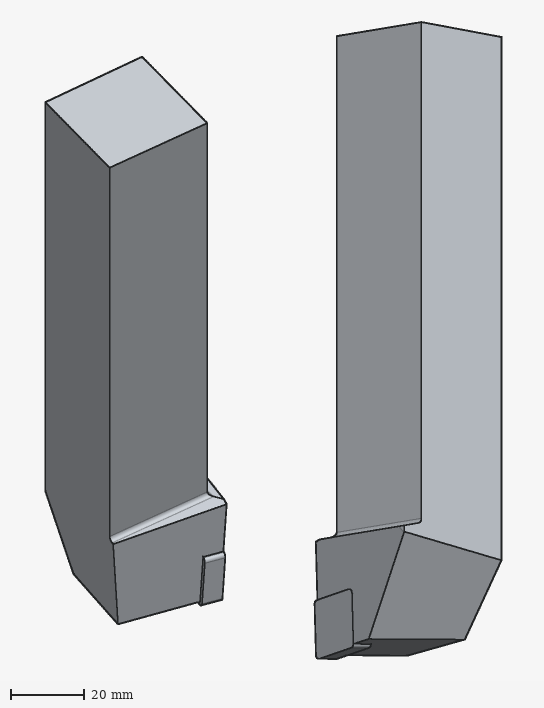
import cadquery as cq
import math

overall_height = 171.4
shank_size = 32.0
side_taper = 0.5

head_width = 42.8
head_depth = 38.9
shoulder_height = 32.9
shoulder_slope = 0.25
shoulder_fillet = 1.5

clearance_point = (36.2, 0, 4.5)
end_slope_x = -0.085
end_slope_y = -0.1
flank_slope_y = 0.09
flank_slope_z = -0.085
rake_point = (0, 38.9, 29.1)
rake_slope_x = -0.11
rake_slope_z = 0.11
rake_normal = (-rake_slope_x, 1, -rake_slope_z)
relief_point = (0.5, 0, 26.5)
relief_slope_x = -1.47
relief_slope_y = 0.055

insert_edge = 16.1
insert_thickness = 6.3
insert_nose_radius = 1.2
insert_lead_angle = 5.0
insert_tip_x = 40.6
insert_tip_z = -0.12

CUTTER_SIZE = 514.0


def trim(body, point, outward):
    """Remove everything of the body on the outward side of a plane."""
    cutter = cq.Workplane(cq.Plane(origin=point, normal=outward)).rect(CUTTER_SIZE, CUTTER_SIZE)
    return body.cut(cutter.extrude(CUTTER_SIZE))


def block(width, depth, height):
    """Box with the tapered -X face, standing on Z = 0."""
    back_x = side_taper * (1 - depth / head_depth)
    outline = [(side_taper, 0), (width, 0), (width, depth), (back_x, depth)]
    return cq.Workplane("XY").polyline(outline).close().extrude(height)


def make_head():
    head = block(head_width, head_depth, overall_height / 2)
    shoulder_point = (shank_size, shank_size, shoulder_height)
    head = trim(head, shoulder_point, (shoulder_slope, 0, 1))
    head = trim(head, shoulder_point, (0, shoulder_slope, 1))
    head = trim(head, clearance_point, (end_slope_x, end_slope_y, -1))
    head = trim(head, clearance_point, (1, -flank_slope_y, -flank_slope_z))
    head = trim(head, rake_point, rake_normal)
    return trim(head, relief_point, (relief_slope_x, relief_slope_y, -1))


def make_holder():
    shank_start = shoulder_height - 2 * shoulder_fillet
    shank = block(shank_size, shank_size, overall_height - shank_start).translate((0, 0, shank_start))
    holder = make_head().union(shank)
    reach = shoulder_fillet
    corner_box = cq.selectors.BoxSelector(
        (-reach, -reach, shoulder_height - reach / 2),
        (shank_size + reach / 2, shank_size + reach / 2, shoulder_height + reach),
    )
    return holder.edges(corner_box).fillet(shoulder_fillet)


def make_insert():
    tip_y = rake_point[1] + rake_slope_x * insert_tip_x + rake_slope_z * (insert_tip_z - rake_point[2])
    seat = cq.Plane(
        origin=(insert_tip_x, tip_y, insert_tip_z),
        xDir=(1, rake_slope_x, 0),
        normal=rake_normal,
    )
    along = insert_edge * math.cos(math.radians(insert_lead_angle))
    aside = insert_edge * math.sin(math.radians(insert_lead_angle))
    rhombus = [(0, 0), (-aside, -along), (-aside - along, -along - aside), (-along, -aside)]
    plate = cq.Workplane(seat).polyline(rhombus).close().extrude(-insert_thickness)
    return plate.edges(cq.selectors.ParallelDirSelector(cq.Vector(*rake_normal))).fillet(insert_nose_radius)


insert = make_insert()
holder = make_holder().cut(insert)

result = cq.Compound.makeCompound([holder.solids().val(), insert.solids().val()])